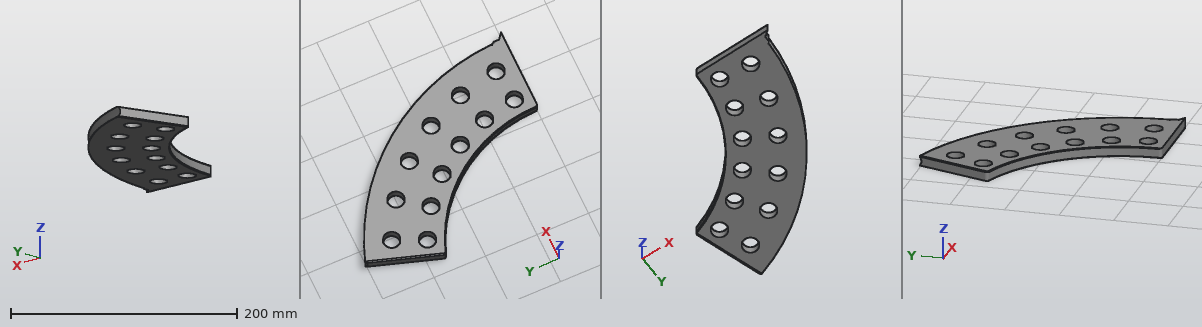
import cadquery as cq
import math

span = 72.0
inner_radius = 140.0
outer_radius = 212.2
thickness = 9.5

arc_chamfer = 0.8
end_bevel_width = 1.6
end_bevel_depth = 0.6
corner_radius = 3.0

hole_diameter = 15.5
hole_rows = (156.0, 187.6)
holes_per_row = 6
hole_pitch = span / holes_per_row

groove_depth = 2.2
rim_land = 0.2

tail_tip_x = 219.3
tail_shoulder_x = 213.5
tail_shoulder_y = 4.6
tail_top_y = 9.5
tail_root_y = 12.0


def polar(radius, angle):
    a = math.radians(angle)
    return (radius * math.cos(a), radius * math.sin(a))


def make_sector():
    """Full-thickness ring sector with sharp edges."""
    return (
        cq.Workplane("XY")
        .moveTo(inner_radius, 0)
        .lineTo(outer_radius, 0)
        .threePointArc(polar(outer_radius, span / 2), polar(outer_radius, span))
        .lineTo(*polar(inner_radius, span))
        .threePointArc(polar(inner_radius, span / 2), (inner_radius, 0))
        .close()
        .extrude(thickness)
    )


def make_end_bevels():
    """Shallow wedges removed from the top and bottom of the far end face."""
    end_plane = cq.Plane(origin=(0, 0, 0), xDir=(0, 1, 0), normal=(1, 0, 0))
    wedge = (
        cq.Workplane(end_plane)
        .polyline([(0, thickness), (-end_bevel_width, thickness), (0, thickness - end_bevel_depth)])
        .close()
        .extrude(2 * outer_radius)
    )
    wedges = wedge.union(wedge.mirror("XY", (0, 0, thickness / 2)))
    return wedges.rotate((0, 0, 0), (0, 0, 1), span)


def make_body():
    """Chamfered sector whose inner corners are rounded through the chamfers."""
    sector = make_sector()
    rounded = sector
    for angle in (0, span):
        corner = polar(inner_radius, angle) + (thickness / 2,)
        rounded = rounded.edges(cq.selectors.NearestToPointSelector(corner)).fillet(corner_radius)

    arc_x, arc_y = polar(inner_radius, span / 2)
    chamfered = sector
    for z in (0, thickness):
        arc_edge = cq.selectors.NearestToPointSelector((arc_x, arc_y, z))
        chamfered = chamfered.edges(arc_edge).chamfer(arc_chamfer)
    return chamfered.cut(make_end_bevels()).intersect(rounded)


def make_groove():
    """Ring whose circular-arc section bites into the outer rim."""
    middle = thickness / 2
    return (
        cq.Workplane("XZ")
        .moveTo(outer_radius, rim_land)
        .threePointArc((outer_radius - groove_depth, middle), (outer_radius, thickness - rim_land))
        .lineTo(outer_radius + groove_depth, thickness - rim_land)
        .lineTo(outer_radius + groove_depth, rim_land)
        .close()
        .revolve(360, (0, 0, 0), (0, 1, 0))
    )


def make_tail():
    """Pointed tail that also closes the groove at this end."""
    root_x = outer_radius - 2 * groove_depth
    rim_x = math.sqrt(outer_radius**2 - tail_root_y**2)
    return (
        cq.Workplane("XY")
        .polyline([
            (root_x, 0),
            (tail_tip_x, 0),
            (tail_shoulder_x, tail_shoulder_y),
            (tail_shoulder_x, tail_top_y),
            (rim_x, tail_root_y),
            (root_x, tail_root_y),
        ])
        .close()
        .extrude(thickness)
    )


def make_holes():
    """Cylinders for both rows of through holes."""
    centres = [
        polar(radius, (i + 0.5) * hole_pitch)
        for radius in hole_rows
        for i in range(holes_per_row)
    ]
    return cq.Workplane("XY").pushPoints(centres).circle(hole_diameter / 2).extrude(thickness)


result = make_body().cut(make_groove()).union(make_tail()).cut(make_holes())